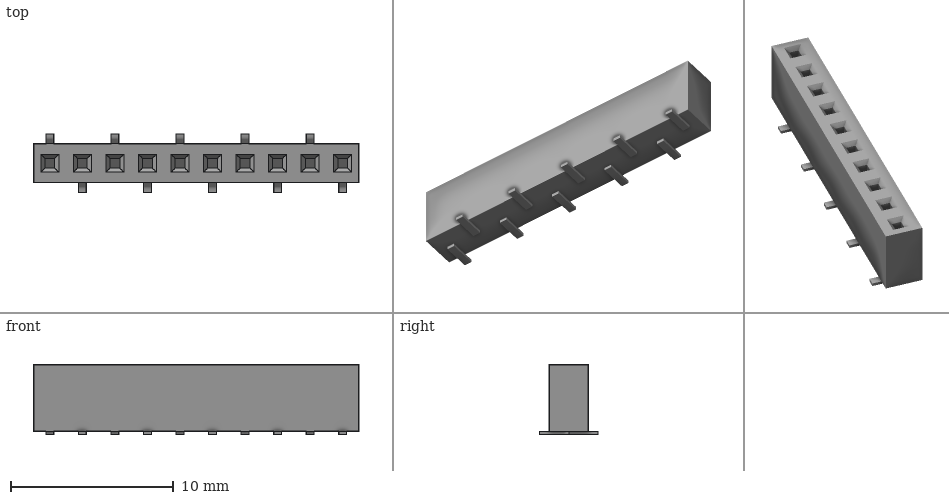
import cadquery as cq

contact_count = 10
pitch = 2.0
housing_length = contact_count * pitch
housing_width = 2.4
overall_height = 4.3
overall_width = 3.6

tail_thickness = 0.2
tail_width = 0.5
tail_length = overall_width / 2

socket_mouth = 1.1
socket_bore = 0.6
lead_in_depth = (socket_mouth - socket_bore) / 2
bore_depth = 2.0

first_contact_x = -housing_length / 2 + pitch / 2
contact_positions = [first_contact_x + i * pitch for i in range(contact_count)]


def make_housing():
    """Rectangular block resting on top of the tails."""
    return (
        cq.Workplane("XY")
        .workplane(offset=tail_thickness)
        .rect(housing_length, housing_width)
        .extrude(overall_height - tail_thickness)
    )


def make_socket(x):
    """Cutting solid for one contact opening in the top face."""
    lead_in = (
        cq.Workplane("XY", origin=(x, 0, overall_height))
        .rect(socket_mouth, socket_mouth)
        .workplane(offset=-lead_in_depth)
        .rect(socket_bore, socket_bore)
        .loft(ruled=True)
    )
    bore = (
        cq.Workplane("XY", origin=(x, 0, overall_height - lead_in_depth))
        .rect(socket_bore, socket_bore)
        .extrude(-bore_depth)
    )
    return lead_in.union(bore)


def make_tail(x, side):
    """Flat tail under the housing, from the centre line out to +Y (side 1) or -Y (side -1)."""
    return (
        cq.Workplane("XY", origin=(x, side * tail_length / 2, 0))
        .rect(tail_width, tail_length)
        .extrude(tail_thickness)
    )


result = make_housing()
for index, contact_x in enumerate(contact_positions):
    tail_side = 1 if index % 2 == 0 else -1
    result = result.cut(make_socket(contact_x))
    result = result.union(make_tail(contact_x, tail_side))